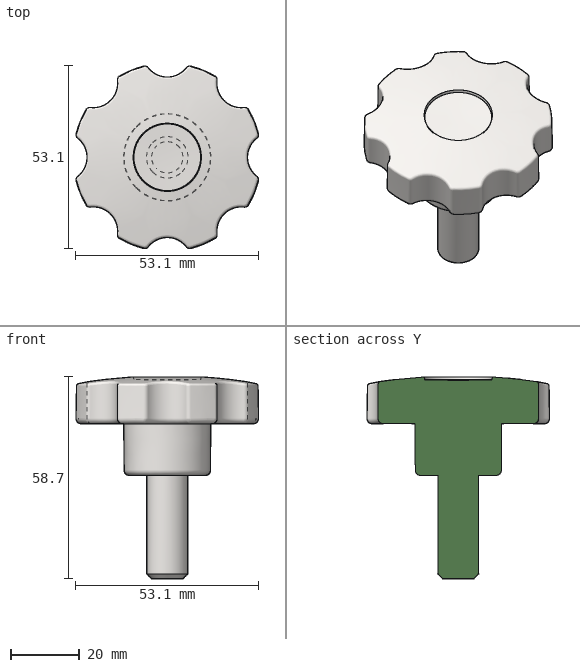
import cadquery as cq
import math

overall_height = 58.65
hub_bottom = 30.0
head_bottom = 45.0

head_radius = 27.4
head_draft = 1.0
scallop_count = 8
scallop_radius = 14.0 / 2
scallop_centre_radius = 30.35
corner_round = 1.3
head_top_round = 0.75
head_bottom_round = 1.5

dome_radius = 155.5
recess_radius = 9.9
recess_floor_radius = 9.7
recess_depth = 0.8
dish_depth = 0.2

hub_top_radius = 12.7
hub_bottom_radius = 12.55
hub_edge_round = 1.5

stud_radius = 12.0 / 2
stud_chamfer = 1.45


def dome_height(radius):
    """Height of the spherical top at a given distance from the axis."""
    def drop(distance):
        return dome_radius - math.sqrt(dome_radius**2 - distance**2)

    return overall_height + drop(recess_radius) - drop(radius)


def revolved(profile):
    """Turn a closed radius-height profile about the Z axis."""
    return profile.close().revolve(360, (0, 0, 0), (0, 1, 0))


def grip_head():
    """Scalloped head with drafted rim, domed top and rounded edges."""
    rim_height = dome_height(head_radius) - head_bottom
    top_radius = head_radius - rim_height * math.tan(math.radians(head_draft))
    blank = revolved(
        cq.Workplane("XZ")
        .moveTo(0, head_bottom)
        .lineTo(head_radius, head_bottom)
        .lineTo(top_radius, dome_height(top_radius))
        .threePointArc((top_radius / 2, dome_height(top_radius / 2)), (0, dome_height(0)))
    )
    scallops = (
        cq.Workplane("XY", origin=(0, 0, head_bottom))
        .polarArray(scallop_centre_radius, 0, 360, scallop_count)
        .circle(scallop_radius)
        .extrude(overall_height - head_bottom)
    )
    head = blank.cut(scallops)
    corners = cq.selectors.BoxSelector(
        (-head_radius, -head_radius, head_bottom + rim_height / 4),
        (head_radius, head_radius, head_bottom + rim_height * 3 / 4),
    )
    head = head.edges(corners).fillet(corner_round)
    head = head.faces("<Z").edges().fillet(head_bottom_round)
    return head.faces(">Z").edges().fillet(head_top_round)


def recess():
    """Shallow tapered pocket whose floor dips towards the axis."""
    floor = overall_height - recess_depth
    return revolved(
        cq.Workplane("XZ")
        .moveTo(0, floor - dish_depth)
        .lineTo(recess_floor_radius, floor)
        .lineTo(recess_radius, overall_height)
        .lineTo(recess_radius, dome_height(0))
        .lineTo(0, dome_height(0))
    )


def hub():
    """Drafted hub with a rounded lower edge."""
    body = revolved(
        cq.Workplane("XZ")
        .moveTo(0, hub_bottom)
        .lineTo(hub_bottom_radius, hub_bottom)
        .lineTo(hub_top_radius, head_bottom)
        .lineTo(0, head_bottom)
    )
    return body.faces("<Z").edges().fillet(hub_edge_round)


def stud():
    """Plain stud with a chamfered tip."""
    rod = cq.Workplane("XY").circle(stud_radius).extrude(hub_bottom)
    return rod.faces("<Z").chamfer(stud_chamfer)


result = grip_head().cut(recess()).union(hub()).union(stud())